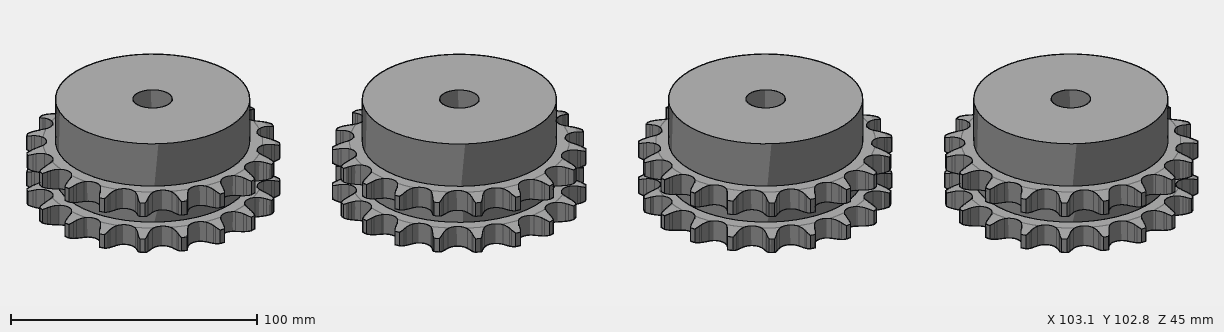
import cadquery as cq
import math


tooth_count = 19
chain_pitch = 15.9
roller_diameter = 10.2
tip_diameter = 103.3

row_thickness = 9.1
row_spacing = 16.5
rim_width = 6.2
rounding_start_radius = 44.6

hub_diameter = 79.0
bore_diameter = 16.0
total_height = 45.0

half_tooth_angle = math.pi / tooth_count
pitch_radius = chain_pitch / (2 * math.sin(half_tooth_angle))
tip_radius = tip_diameter / 2
cutter_radius = tip_radius + roller_diameter


def from_point(point, distance, angle):
    """Point reached from another one by a distance along an angle in radians."""
    return (point[0] + distance * math.cos(angle), point[1] + distance * math.sin(angle))


def mirrored(point):
    """Point reflected across the centre line of the tooth gap."""
    return (-point[0], point[1])


def tooth_gap():
    """Gap between two teeth, centred on +Y, with the standard ASA roller-chain tooth form."""
    seat_radius = roller_diameter / 2
    seat_angle = math.radians(35 + 60 / tooth_count)
    working_angle = math.radians(18 - 56 / tooth_count)
    topping_angle = math.radians(17 - 64 / tooth_count)
    working_offset = 0.8 * roller_diameter
    working_radius = working_offset + seat_radius
    topping_offset = 1.4 * roller_diameter

    seat_center = (0, pitch_radius)
    seat_bottom = (0, pitch_radius - seat_radius)
    seat_end = from_point(seat_center, seat_radius, -seat_angle)

    working_center = from_point(seat_center, working_offset, math.pi - seat_angle)
    working_middle = from_point(working_center, working_radius, working_angle / 2 - seat_angle)
    working_end_angle = working_angle - seat_angle
    working_end = from_point(working_center, working_radius, working_end_angle)

    flank_angle = working_end_angle + math.pi / 2
    flank_length = topping_offset * math.sin(topping_angle) - working_offset * math.sin(working_angle)
    flank_end = from_point(working_end, flank_length, flank_angle)

    topping_center = from_point(seat_center, topping_offset, -half_tooth_angle)
    topping_radius = math.dist(topping_center, flank_end)
    center_distance = math.hypot(*topping_center)
    tip_offset_cosine = (center_distance**2 + tip_radius**2 - topping_radius**2) / (
        2 * center_distance * tip_radius
    )
    tip_angle = math.atan2(topping_center[1], topping_center[0]) + math.acos(tip_offset_cosine)
    tip = from_point((0, 0), tip_radius, tip_angle)
    start_angle = math.atan2(flank_end[1] - topping_center[1], flank_end[0] - topping_center[0])
    end_angle = math.atan2(tip[1] - topping_center[1], tip[0] - topping_center[0])
    topping_middle = from_point(topping_center, topping_radius, (start_angle + end_angle) / 2)

    outside = from_point((0, 0), cutter_radius, tip_angle)

    return (
        cq.Workplane("XY")
        .moveTo(*outside)
        .lineTo(*tip)
        .threePointArc(topping_middle, flank_end)
        .lineTo(*working_end)
        .threePointArc(working_middle, seat_end)
        .threePointArc(seat_bottom, mirrored(seat_end))
        .threePointArc(mirrored(working_middle), mirrored(working_end))
        .lineTo(*mirrored(flank_end))
        .threePointArc(mirrored(topping_middle), mirrored(tip))
        .lineTo(*mirrored(outside))
        .close()
        .extrude(row_thickness)
    )


def tooth_row():
    """Toothed disc with both faces rounded off towards the tooth tips."""
    rounding_length = tip_radius - rounding_start_radius
    rounding_depth = (row_thickness - rim_width) / 2
    rounding_radius = (rounding_length**2 + rounding_depth**2) / (2 * rounding_depth)

    row = (
        cq.Workplane("XZ")
        .lineTo(rounding_start_radius, 0)
        .radiusArc((tip_radius, rounding_depth), -rounding_radius)
        .lineTo(tip_radius, row_thickness - rounding_depth)
        .radiusArc((rounding_start_radius, row_thickness), -rounding_radius)
        .lineTo(0, row_thickness)
        .close()
        .revolve()
    )

    gap = tooth_gap()
    for index in range(tooth_count):
        row = row.cut(gap.rotate((0, 0, 0), (0, 0, 1), index * 360 / tooth_count))
    return row


hub = cq.Workplane("XY").circle(hub_diameter / 2).extrude(total_height)
bore = cq.Workplane("XY").circle(bore_diameter / 2).extrude(total_height)

lower_row = tooth_row()
upper_row = lower_row.translate((0, 0, row_spacing))

result = hub.union(lower_row).union(upper_row).cut(bore)